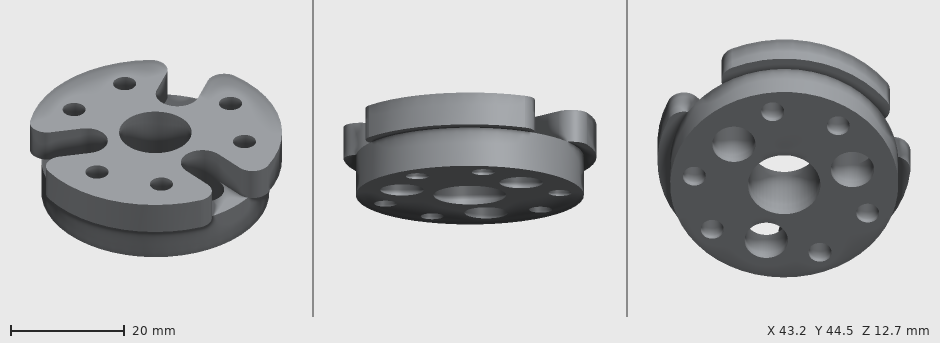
import cadquery as cq
import math

flange_diameter = 44.45
spigot_diameter = 40.0
total_height = 12.7
flange_thickness = 5.8
spigot_height = total_height - flange_thickness

bore_diameter = 12.7
slot_width = 7.6
slot_centre_radius = 12.4
slot_corner_radius = 3.02
bolt_diameter = 4.05
bolt_circle_radius = 15.85

lobe_count = 3
lobe_pitch = 360.0 / lobe_count
bolt_half_angle = 22.0
slot_angles = [i * lobe_pitch for i in range(lobe_count)]
lobe_angles = [angle + lobe_pitch / 2 for angle in slot_angles]
bolt_angles = [
    angle + side * bolt_half_angle for angle in lobe_angles for side in (-1, 1)
]


def through_holes(diameter, radius, angles):
    """Vertical cylinders through the full height, placed on a circle."""
    holes = cq.Workplane("XY")
    for angle in angles:
        holes = holes.add(
            cq.Workplane("XY")
            .center(radius, 0)
            .circle(diameter / 2)
            .extrude(total_height)
            .rotate((0, 0, 0), (0, 0, 1), angle)
        )
    return holes.combine()


def slotted_flange():
    """Disc with three open-ended slots and rounded lobe corners."""
    flange = cq.Workplane("XY").circle(flange_diameter / 2).extrude(flange_thickness)
    slot_length = flange_diameter / 2
    for angle in slot_angles:
        slot = (
            cq.Workplane("XY")
            .center(slot_centre_radius, 0)
            .rect(slot_length, slot_width, centered=(False, True))
            .extrude(flange_thickness)
            .union(
                cq.Workplane("XY")
                .center(slot_centre_radius, 0)
                .circle(slot_width / 2)
                .extrude(flange_thickness)
            )
            .rotate((0, 0, 0), (0, 0, 1), angle)
        )
        flange = flange.cut(slot)

    mouth_edges = flange.edges("|Z").filter(
        lambda edge: math.hypot(edge.Center().x, edge.Center().y) > spigot_diameter / 2
    )
    return mouth_edges.fillet(slot_corner_radius)


spigot = cq.Workplane("XY").circle(spigot_diameter / 2).extrude(spigot_height)
body = spigot.union(slotted_flange().translate((0, 0, spigot_height)))

bore = cq.Workplane("XY").circle(bore_diameter / 2).extrude(total_height)
result = (
    body.cut(bore)
    .cut(through_holes(slot_width, slot_centre_radius, slot_angles))
    .cut(through_holes(bolt_diameter, bolt_circle_radius, bolt_angles))
)